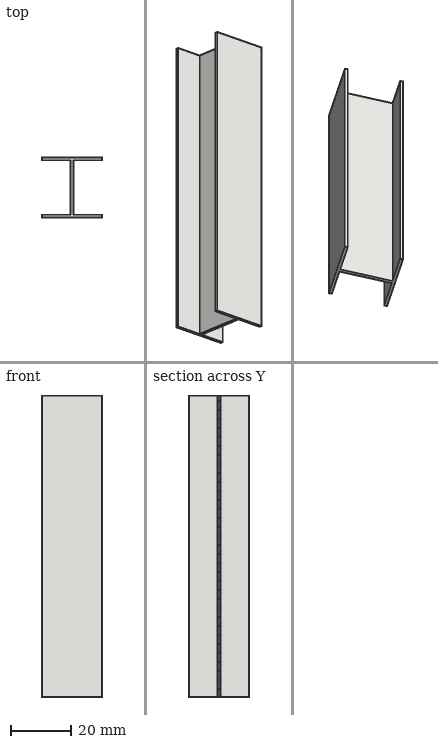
import cadquery as cq

length = 100.0
flange_width = 20.0
section_depth = 20.0
wall = 1.0

flange_offset = (section_depth - wall) / 2


def plate(width, depth, y_center):
    """Full-length plate standing on Z = 0, centred on X = 0."""
    return (
        cq.Workplane("XY")
        .center(0, y_center)
        .rect(width, depth)
        .extrude(length)
    )


result = plate(wall, section_depth, 0)

for side in (-1, 1):
    result = result.union(plate(flange_width, wall, side * flange_offset))